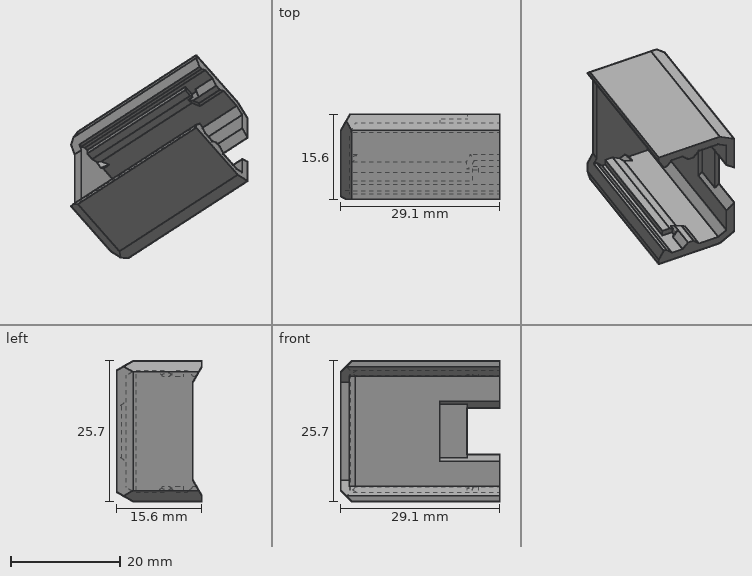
import cadquery as cq
import math

length = 29.1
depth = 15.6
height = 25.7

side_wall = 1.57
back_wall = 1.63
floor_wall = 1.7

bevel_angle = math.radians(30)

corner_bevel = 2.0
back_bevel_depth = 3.0
back_bevel_inset = back_bevel_depth * math.tan(bevel_angle)

mouth_rim = 1.05
mouth_recess = 1.65
mouth_slope = math.tan(math.radians(60))

rib_height = 1.13
lip_back = 1.6
rib_top_front = 6.05
rib_top_back = 7.15
rib_end_x = 24.35
rib_round_end_x = 25.15
rib_end_angle = math.radians(28)

bar_front = 3.4
bar_back = 4.92
bar_end_x = 24.05
bar_back_slope = math.tan(bevel_angle)

inner_bevel_depth = 1.7
inner_bevel_height = inner_bevel_depth * math.tan(bevel_angle)
inner_corner_inset = 1.08

notch_start = 18.07
notch_through_start = 23.1
notch_front_width = 10.9
notch_back_width = 8.45
notch_pocket_depth = 0.75

mid_height = height / 2
rib_top = floor_wall + rib_height
back_face = depth - back_wall


def prism_along_x(points, x_start, x_end):
    """Extrude a (Y, Z) outline from x_start to x_end."""
    outline = cq.Workplane("YZ", origin=(x_start, 0, 0)).polyline(points).close()
    return outline.extrude(x_end - x_start)


def mirrored_pair(lower):
    """Add the copy mirrored about mid-height."""
    return lower.union(lower.mirror("XY", (0, 0, mid_height)))


def outer_block():
    side_outline = [
        (0, 0),
        (depth - back_bevel_depth, 0),
        (depth, back_bevel_inset),
        (depth, height - back_bevel_inset),
        (depth - back_bevel_depth, height),
        (0, height),
    ]
    front_outline = [
        (corner_bevel, 0),
        (length, 0),
        (length, height),
        (corner_bevel, height),
        (0, height - corner_bevel),
        (0, corner_bevel),
    ]
    top_outline = [
        (0, 0),
        (length, 0),
        (length, depth),
        (back_bevel_inset, depth),
        (0, depth - back_bevel_depth),
    ]
    block = prism_along_x(side_outline, 0, length)
    block = block.intersect(cq.Workplane("XZ").polyline(front_outline).close().extrude(-depth))
    return block.intersect(cq.Workplane("XY").polyline(top_outline).close().extrude(height))


def cavity():
    bevel_start = back_face - inner_bevel_depth
    bevel_top = floor_wall + inner_bevel_height
    profile = [
        (0, floor_wall),
        (bevel_start, floor_wall),
        (back_face, bevel_top),
        (back_face, height - bevel_top),
        (bevel_start, height - floor_wall),
        (0, height - floor_wall),
    ]
    plan_outline = [
        (side_wall, 0),
        (length, 0),
        (length, back_face),
        (side_wall + inner_corner_inset, back_face),
        (side_wall, back_face - inner_corner_inset / math.tan(bevel_angle)),
    ]
    plan = cq.Workplane("XY").polyline(plan_outline).close().extrude(height)
    return prism_along_x(profile, side_wall, length).intersect(plan)


def lip():
    profile = [
        (0, floor_wall),
        (lip_back + rib_height, floor_wall),
        (lip_back, rib_top),
        (0, rib_top),
    ]
    return prism_along_x(profile, side_wall, length)


def rib():
    """Rib with 45 degree flanks, a round front flank near its inner end, and a skewed end face."""
    flat_flank = [
        (rib_top_front - rib_height, floor_wall),
        (rib_top_front, rib_top),
        (rib_top_back, rib_top),
        (rib_top_back + rib_height, floor_wall),
    ]
    straight_part = prism_along_x(flat_flank, rib_round_end_x, length)

    round_center = rib_top_front + rib_height * math.tan(bevel_angle)
    round_radius = rib_height / math.cos(bevel_angle)
    mid_angle = (math.pi / 2 - bevel_angle) / 2
    round_part = (
        cq.Workplane("YZ", origin=(side_wall, 0, 0))
        .moveTo(round_center - round_radius, floor_wall)
        .threePointArc(
            (
                round_center - round_radius * math.cos(mid_angle),
                floor_wall + round_radius * math.sin(mid_angle),
            ),
            (rib_top_front, rib_top),
        )
        .lineTo(rib_top_back, rib_top)
        .lineTo(rib_top_back + rib_height, floor_wall)
        .close()
        .extrude(rib_round_end_x - side_wall)
    )

    end_face = cq.Plane(
        origin=(rib_end_x, rib_top_back, rib_top),
        xDir=(math.sin(rib_end_angle), math.cos(rib_end_angle), 0),
        normal=(-math.cos(rib_end_angle), math.sin(rib_end_angle), 1),
    )
    beyond_end = cq.Workplane(end_face).rect(length, length).extrude(length)
    return straight_part.union(round_part).cut(beyond_end)


def bar():
    profile = [
        (bar_front, floor_wall),
        (bar_front, rib_top),
        (bar_back, rib_top),
        (bar_back + rib_height / bar_back_slope, floor_wall),
    ]
    return prism_along_x(profile, side_wall, bar_end_x)


def mouth_cut():
    recess_edge = mouth_rim + mouth_recess * mouth_slope
    profile = [
        (0, mouth_rim),
        (mouth_recess, recess_edge),
        (mouth_recess, height - recess_edge),
        (0, height - mouth_rim),
    ]
    return prism_along_x(profile, 0, length)


def tapered_slot(x_start, y_end):
    """Slot through the +X end that narrows from the inner back face towards y_end."""
    taper = (notch_front_width - notch_back_width) / 2 / back_wall
    front_half = notch_front_width / 2
    end_half = front_half - taper * (y_end - back_face)
    profile = [
        (back_face, mid_height - front_half),
        (y_end, mid_height - end_half),
        (y_end, mid_height + end_half),
        (back_face, mid_height + front_half),
    ]
    return prism_along_x(profile, x_start, length)


result = outer_block().cut(cavity())
for feature in (lip(), rib(), bar()):
    result = result.union(mirrored_pair(feature))
result = result.cut(mouth_cut())
result = result.cut(tapered_slot(notch_start, back_face + notch_pocket_depth))
result = result.cut(tapered_slot(notch_through_start, depth))